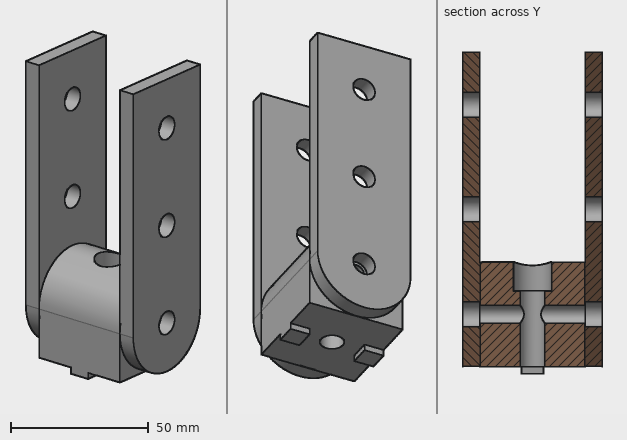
import cadquery as cq

width = 38.1
plate_thickness = 6.3
plate_height = 114.3
plate_hole_diameter = 8.9
hole_pitch = width
hole_count = 3

overall_length = 50.8
block_length = overall_length - 2 * plate_thickness
radius = width / 2
block_drop = radius + 0.1
pivot_hole_diameter = 6.4
bore_diameter = 8.9
counterbore_diameter = 13.7
counterbore_depth = 10.5

tab_length = 8.1
tab_width = 7.8
tab_height = 2.5


def make_plate(start_x):
    """Upright plate with its round end concentric with the pivot axis."""
    top_z = plate_height - radius
    plate = (
        cq.Workplane("YZ", origin=(start_x, 0, 0))
        .moveTo(-radius, 0)
        .threePointArc((0, -radius), (radius, 0))
        .lineTo(radius, top_z)
        .lineTo(-radius, top_z)
        .close()
        .extrude(plate_thickness)
    )
    hole_places = [(0, i * hole_pitch) for i in range(hole_count)]
    holes = (
        cq.Workplane("YZ", origin=(start_x, 0, 0))
        .pushPoints(hole_places)
        .circle(plate_hole_diameter / 2)
        .extrude(plate_thickness)
    )
    return plate.cut(holes)


def make_block():
    """Domed block with locating tabs, a pivot hole and a counterbored bore."""
    block = (
        cq.Workplane("YZ", origin=(-block_length / 2, 0, 0))
        .moveTo(-radius, -block_drop)
        .lineTo(-radius, 0)
        .threePointArc((0, radius), (radius, 0))
        .lineTo(radius, -block_drop)
        .close()
        .extrude(block_length)
    )
    tab_y = (width - tab_width) / 2
    tabs = (
        cq.Workplane("XY", origin=(0, 0, -block_drop))
        .pushPoints([(0, -tab_y), (0, tab_y)])
        .rect(tab_length, tab_width)
        .extrude(-tab_height)
    )
    pivot_hole = (
        cq.Workplane("YZ", origin=(-block_length / 2, 0, 0))
        .circle(pivot_hole_diameter / 2)
        .extrude(block_length)
    )
    bore = (
        cq.Workplane("XY", origin=(0, 0, -block_drop))
        .circle(bore_diameter / 2)
        .extrude(block_drop + radius)
    )
    counterbore = (
        cq.Workplane("XY", origin=(0, 0, radius))
        .circle(counterbore_diameter / 2)
        .extrude(-counterbore_depth)
    )
    return block.union(tabs).cut(pivot_hole).cut(bore).cut(counterbore)


block = make_block()
plates = [make_plate(start_x) for start_x in (-overall_length / 2, block_length / 2)]

result = cq.Compound.makeCompound([block.val(), *[plate.val() for plate in plates]])